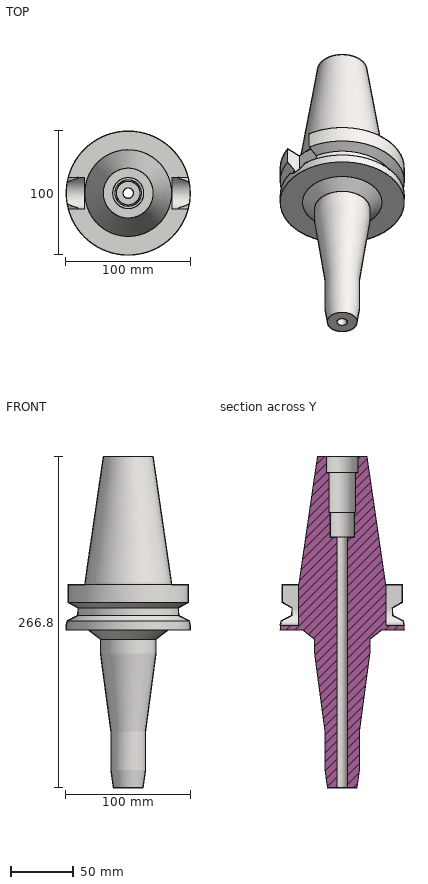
import cadquery as cq


GAUGE_DIA = 69.85
TAPER_LENGTH = 101.8
TAPER_RATE = 7 / 24
TAPER_TIP_DIA = GAUGE_DIA - TAPER_RATE * TAPER_LENGTH

FLANGE_DIA = 100.0
FLANGE_TOP_Z = -1.5
FLANGE_BOTTOM_Z = -38.0
GROOVE_DIA = 85.0
GROOVE_CENTRE_Z = -23.2
GROOVE_FLOOR_WIDTH = 6.2
GROOVE_FLANK_HEIGHT = 4.33
GROOVE_FLOOR_TOP_Z = GROOVE_CENTRE_Z + GROOVE_FLOOR_WIDTH / 2
GROOVE_FLOOR_BOTTOM_Z = GROOVE_CENTRE_Z - GROOVE_FLOOR_WIDTH / 2
GROOVE_TOP_Z = GROOVE_FLOOR_TOP_Z + GROOVE_FLANK_HEIGHT
GROOVE_BOTTOM_Z = GROOVE_FLOOR_BOTTOM_Z - GROOVE_FLANK_HEIGHT

SLOT_WIDTH = 25.4
SLOT_FLOOR_X = 35.4
SLOT_BOTTOM_Z = -34.0

NOSE_END_Z = -165.0
SHOULDER_DIA = 64.0
COLLAR_DIA = 44.8
COLLAR_TOP_Z = -45.5
COLLAR_BOTTOM_Z = -57.0
NECK_DIA = 28.0
NECK_TOP_Z = -120.0
NECK_BOTTOM_Z = -151.0
NOSE_END_DIA = 24.0

PILOT_DIA = 25.0
PILOT_DEPTH = 13.0
THREAD_DIA = 21.25
THREAD_DEPTH = 45.0
INNER_DIA = 19.0
INNER_DEPTH = 65.0
THROUGH_DIA = 8.2
BORE_STEPS = [
    (PILOT_DIA, PILOT_DEPTH),
    (THREAD_DIA, THREAD_DEPTH),
    (INNER_DIA, INNER_DEPTH),
    (THROUGH_DIA, TAPER_LENGTH - NOSE_END_Z),
]


def turned_body():
    """Revolve the outside of the holder, listed as (diameter, height) from tip to nose."""
    stations = [
        (TAPER_TIP_DIA, TAPER_LENGTH),
        (GAUGE_DIA, 0),
        (GAUGE_DIA, FLANGE_TOP_Z),
        (FLANGE_DIA, FLANGE_TOP_Z),
        (FLANGE_DIA, GROOVE_TOP_Z),
        (GROOVE_DIA, GROOVE_FLOOR_TOP_Z),
        (GROOVE_DIA, GROOVE_FLOOR_BOTTOM_Z),
        (FLANGE_DIA, GROOVE_BOTTOM_Z),
        (FLANGE_DIA, FLANGE_BOTTOM_Z),
        (SHOULDER_DIA, FLANGE_BOTTOM_Z),
        (COLLAR_DIA, COLLAR_TOP_Z),
        (COLLAR_DIA, COLLAR_BOTTOM_Z),
        (NECK_DIA, NECK_TOP_Z),
        (NECK_DIA, NECK_BOTTOM_Z),
        (NOSE_END_DIA, NOSE_END_Z),
    ]
    outline = [(0, TAPER_LENGTH)]
    outline += [(diameter / 2, height) for diameter, height in stations]
    outline.append((0, NOSE_END_Z))
    profile = cq.Workplane("XZ").polyline(outline).close()
    return profile.revolve(360, (0, 0, 0), (0, 1, 0))


def drive_slot(side):
    """Cutter for one slot; side is +1 for the +X slot and -1 for the -X slot."""
    radius = SLOT_WIDTH / 2
    round_centre_z = SLOT_BOTTOM_Z + radius
    outline = (
        cq.Workplane("YZ", origin=(side * SLOT_FLOOR_X, 0, 0))
        .moveTo(-radius, FLANGE_TOP_Z)
        .lineTo(-radius, round_centre_z)
        .threePointArc((0, SLOT_BOTTOM_Z), (radius, round_centre_z))
        .lineTo(radius, FLANGE_TOP_Z)
        .close()
    )
    return outline.extrude(side * FLANGE_DIA / 2)


def bore_step(diameter, depth):
    """Cutter for one bore diameter, sunk from the taper tip."""
    return cq.Workplane("XY", origin=(0, 0, TAPER_LENGTH)).circle(diameter / 2).extrude(-depth)


result = turned_body()
for slot_side in (-1, 1):
    result = result.cut(drive_slot(slot_side))
for step_dia, step_depth in BORE_STEPS:
    result = result.cut(bore_step(step_dia, step_depth))